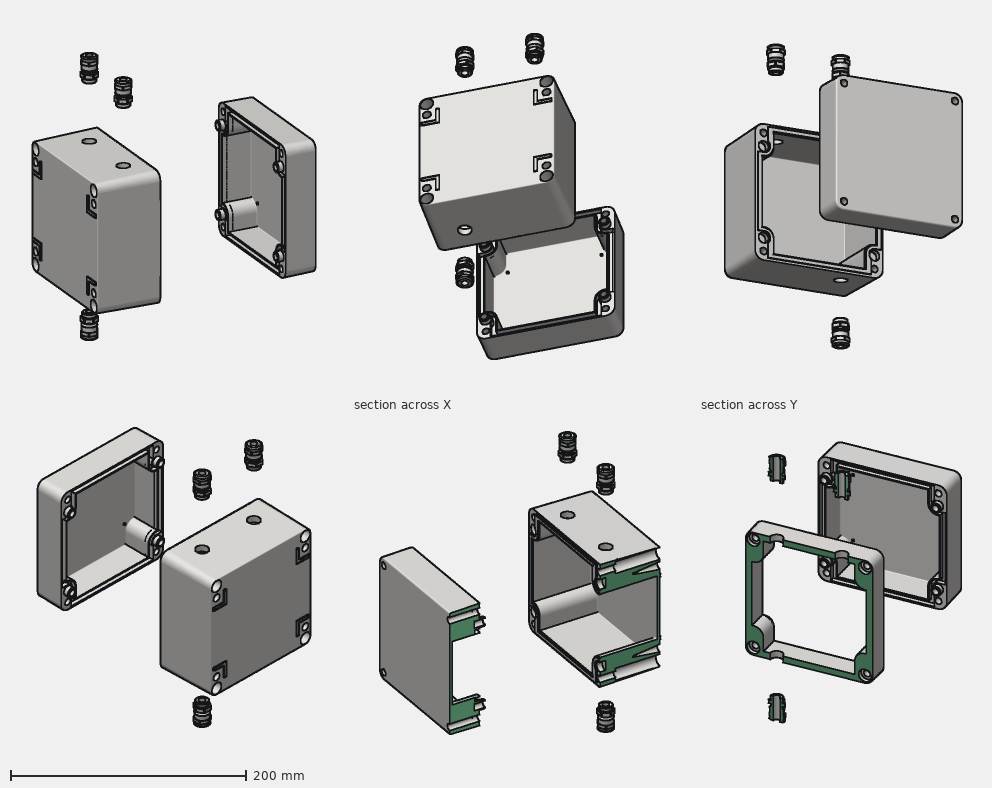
import cadquery as cq
import math

OVERALL_DEPTH = 211.0
CASE_SIZE = 122.0
CASE_HALF = CASE_SIZE / 2
CASE_Z = -9.9
CASE_CORNER_RADIUS = 8.3
CAVITY_SIZE = 108.0
CAVITY_FLOOR_FILLET = 0.8
FLOOR_THICKNESS = 2.5
SCREW_OFFSET = 53.0
SCREW_HOLE_RADIUS = 3.0
PEG_X = SCREW_OFFSET
PEG_Z = 41.0
PEG_RADIUS = 4.7
PEG_LENGTH = 5.5
POST_RADIUS = 9.9

TONGUE_SIZE = 117.3
GROOVE_SIZE = 119.0
JOINT_LIP = 1.0
PAD_X = 49.0
PAD_RADIUS = 5.7
TONGUE_HEIGHT = 1.5
GROOVE_DEPTH = 4.7

LID_OUTER_Y = OVERALL_DEPTH / 2
LID_RIM_Y = 75.5
LID_DEPTH = LID_OUTER_Y - LID_RIM_Y
LID_DRAFT_INSET = 0.5
LID_EDGE_FILLET = 1.5
PEG_CHAMFER = 0.8
PEG_HOLE_RADIUS = 3.0
PEG_HOLE_DEPTH = 10.5
NUB_X = 41.5
NUB_Z = 32.2
NUB_RADIUS = 1.0
NUB_HEIGHT = 0.8

BASE_RIM_Y = -44.6
BASE_FLOOR_Y = -104.5
BASE_DEPTH = BASE_RIM_Y - BASE_FLOOR_Y
BASE_DRAFT_INSET = 1.3
BASE_EDGE_FILLET = 1.0
COUNTERBORE_RADIUS = 5.7
COUNTERBORE_DEPTH = 44.0
CONE_HOLE_RADIUS = 3.6
CONE_HOLE_DEPTH = 31.1
FOOT_HEIGHT = BASE_FLOOR_Y + OVERALL_DEPTH / 2
FOOT_ARM = 15.8
FOOT_WIDTH = 3.0
FOOT_END_RADIUS = 0.49 * FOOT_WIDTH
FOOT_CORNER_X = 41.8
FOOT_CORNER_Z = 29.5

GLAND_X = 31.0
GLAND_Y = -64.5
GLAND_END_Z = 129.8
GLAND_HOLE_RADIUS = 6.0
GLAND_BORE_RADIUS = 3.0
GLAND_PROFILE = [
    (0.0, 5.7),
    (1.0, 7.3),
    (1.5, 6.7),
    (12.0, 6.7),
    (12.5, 7.0),
    (14.3, 5.5),
    (20.2, 5.5),
    (20.5, 6.2),
    (23.4, 6.2),
    (24.1, 5.5),
]
HEX_FLATS = 14.0
HEX_CORNER_RADIUS = 7.8
CAP_HEX_TOP = 4.0
CAP_HEX_HEIGHT = 3.5
CAP_HEX_TURN = 30
BODY_HEX_TOP = 15.8
BODY_HEX_HEIGHT = 3.6
BODY_HEX_TURN = 0

GLANDS = [(-GLAND_X, 1), (GLAND_X, 1), (-GLAND_X, -1)]

CORNERS = [(sx, sz) for sx in (-1, 1) for sz in (-1, 1)]


def plane_at(y, direction):
    """Plane across the case at y, growing towards +Y (1) or -Y (-1)."""
    return cq.Workplane(cq.Plane((0, y, CASE_Z), xDir=(-direction, 0, 0), normal=(0, direction, 0)))


def square_block(size, y, height, direction):
    return plane_at(y, direction).rect(size, size).extrude(height)


def rod(x, z, y, radius, length, direction):
    centre = cq.Vector(x, y, CASE_Z + z)
    return cq.Workplane(cq.Solid.makeCylinder(radius, length, centre, cq.Vector(0, direction, 0)))


def cone(x, z, y, radius, length, direction):
    centre = cq.Vector(x, y, CASE_Z + z)
    return cq.Workplane(cq.Solid.makeCone(radius, 0, length, centre, cq.Vector(0, direction, 0)))


def corner_block(sx, sz, inner_x, inner_z, y, height, direction):
    """Box that fills one corner of the case, outward from inner_x and inner_z."""
    width = CASE_HALF - inner_x
    tall = CASE_HALF - inner_z
    centre = (
        sx * (inner_x + width / 2),
        y + direction * height / 2,
        CASE_Z + sz * (inner_z + tall / 2),
    )
    return cq.Workplane("XY").box(width, height, tall).translate(centre)


def cut_posts(body, radius, y, height, direction):
    """Cut the four post shapes, each rounded by the radius about its peg axis, from the body."""
    for sx, sz in CORNERS:
        post = corner_block(sx, sz, PEG_X - radius, PEG_Z - radius, y, height, direction)
        inner_edge = cq.selectors.NearestToPointSelector((0, y + direction * height / 2, CASE_Z))
        body = body.cut(post.edges("|Y").edges(inner_edge).fillet(radius))
    return body


def cut_pads(body, y, height, direction):
    """Cut the four pad shapes, which carry the screws and pegs, from the body."""
    for sx, sz in CORNERS:
        body = body.cut(corner_block(sx, sz, PAD_X, PEG_Z, y, height, direction))
        body = body.cut(corner_block(sx, sz, PEG_X, PEG_Z - PAD_RADIUS, y, height, direction))
        body = body.cut(rod(sx * PEG_X, sz * PEG_Z, y, PAD_RADIUS, height, direction))
    return body


def joint_ring(size, y, height, direction):
    """Ring that follows the walls and runs between the corner pads and the cavity."""
    core_size = CAVITY_SIZE + 2 * JOINT_LIP
    core = square_block(core_size, y, height, direction)
    core = cut_posts(core, POST_RADIUS - JOINT_LIP, y, height, direction)
    return cut_pads(square_block(size, y, height, direction).cut(core), y, height, direction)


def hollow_shell(rim_y, depth, direction, draft_inset, edge_fillet):
    """Drafted square tray, open at rim_y, with a corner post around each peg axis."""
    floor_side = ">Y" if direction > 0 else "<Y"
    shell = (
        plane_at(rim_y, direction)
        .sketch()
        .rect(CASE_SIZE, CASE_SIZE)
        .vertices()
        .fillet(CASE_CORNER_RADIUS)
        .finalize()
        .extrude(depth, taper=math.degrees(math.atan(draft_inset / depth)))
        .faces(floor_side)
        .edges()
        .fillet(edge_fillet)
    )
    cavity_depth = depth - FLOOR_THICKNESS
    cavity = square_block(CAVITY_SIZE, rim_y, cavity_depth, direction)
    cavity = cut_posts(cavity, POST_RADIUS, rim_y, cavity_depth, direction)
    return shell.cut(cavity.faces(floor_side).edges().fillet(CAVITY_FLOOR_FILLET))


def make_lid():
    lid = hollow_shell(LID_RIM_Y, LID_DEPTH, 1, LID_DRAFT_INSET, LID_EDGE_FILLET)
    lid = lid.cut(joint_ring(GROOVE_SIZE, LID_RIM_Y, GROOVE_DEPTH, 1))
    peg_tip_y = LID_RIM_Y - PEG_LENGTH
    for sx, sz in CORNERS:
        peg = rod(sx * PEG_X, sz * PEG_Z, LID_RIM_Y, PEG_RADIUS, PEG_LENGTH, -1)
        lid = lid.union(peg.faces("<Y").edges().chamfer(PEG_CHAMFER))
        lid = lid.cut(rod(sx * PEG_X, sz * PEG_Z, peg_tip_y, PEG_HOLE_RADIUS, PEG_HOLE_DEPTH, 1))
        lid = lid.cut(rod(sx * SCREW_OFFSET, sz * SCREW_OFFSET, LID_RIM_Y, SCREW_HOLE_RADIUS, LID_DEPTH, 1))
        nub_y = LID_OUTER_Y - FLOOR_THICKNESS
        lid = lid.union(rod(sx * NUB_X, sz * NUB_Z, nub_y, NUB_RADIUS, NUB_HEIGHT, -1))
    return lid


def make_foot(sx, sz):
    """L-shaped foot with its corner nearest the case centre; one arm end is rounded."""
    foot = cq.Workplane("XY").box(FOOT_ARM, FOOT_HEIGHT, FOOT_WIDTH, centered=False)
    upright = cq.Workplane("XY").box(FOOT_WIDTH, FOOT_HEIGHT, FOOT_ARM, centered=False)
    if sz > 0:
        upright = upright.faces(">Z").edges("|Y").fillet(FOOT_END_RADIUS)
    else:
        foot = foot.faces(">X").edges("|Y").fillet(FOOT_END_RADIUS)
    foot = foot.union(upright)
    if sx < 0:
        foot = foot.mirror("YZ")
    if sz < 0:
        foot = foot.mirror("XY")
    return foot.translate((sx * FOOT_CORNER_X, BASE_FLOOR_Y - FOOT_HEIGHT, CASE_Z + sz * FOOT_CORNER_Z))


def make_base():
    base = hollow_shell(BASE_RIM_Y, BASE_DEPTH, -1, BASE_DRAFT_INSET, BASE_EDGE_FILLET)
    base = base.union(joint_ring(TONGUE_SIZE, BASE_RIM_Y, TONGUE_HEIGHT, 1))
    for sx, sz in CORNERS:
        screw_x, screw_z = sx * SCREW_OFFSET, sz * SCREW_OFFSET
        peg_x, peg_z = sx * PEG_X, sz * PEG_Z
        base = base.cut(rod(screw_x, screw_z, BASE_FLOOR_Y, SCREW_HOLE_RADIUS, BASE_DEPTH, 1))
        base = base.cut(rod(screw_x, screw_z, BASE_FLOOR_Y, COUNTERBORE_RADIUS, COUNTERBORE_DEPTH, 1))
        base = base.cut(cone(peg_x, peg_z, BASE_FLOOR_Y, CONE_HOLE_RADIUS, CONE_HOLE_DEPTH, 1))
        base = base.cut(rod(peg_x, peg_z, BASE_RIM_Y, PEG_RADIUS, PEG_LENGTH, -1))
        base = base.union(make_foot(sx, sz))
    for x, side in GLANDS:
        hole = cq.Workplane("XY").circle(GLAND_HOLE_RADIUS).extrude(side * CASE_HALF)
        base = base.cut(hole.translate((x, GLAND_Y, CASE_Z)))
    return base


def gland_hex(top, height, turn):
    across_corners = HEX_FLATS / math.cos(math.pi / 6)
    hexagon = cq.Workplane("XY").polygon(6, across_corners).extrude(-height)
    hexagon = hexagon.intersect(cq.Workplane("XY").circle(HEX_CORNER_RADIUS).extrude(-height))
    return hexagon.rotate((0, 0, 0), (0, 0, 1), turn).translate((0, 0, -top))


def make_gland(x, side):
    length = GLAND_PROFILE[-1][0]
    outline = [(0, 0)] + [(radius, -depth) for depth, radius in GLAND_PROFILE] + [(0, -length)]
    gland = cq.Workplane("XZ").polyline(outline).close().revolve(360, (0, 0), (0, 1))
    gland = gland.union(gland_hex(CAP_HEX_TOP, CAP_HEX_HEIGHT, CAP_HEX_TURN))
    gland = gland.union(gland_hex(BODY_HEX_TOP, BODY_HEX_HEIGHT, BODY_HEX_TURN))
    gland = gland.cut(cq.Workplane("XY").circle(GLAND_BORE_RADIUS).extrude(-length))
    if side < 0:
        gland = gland.mirror("XY")
    return gland.translate((x, GLAND_Y, side * GLAND_END_Z))


lid = make_lid()
base = make_base()
glands = [make_gland(x, side).val() for x, side in GLANDS]
result = cq.Compound.makeCompound([lid.val(), base.val(), *glands])